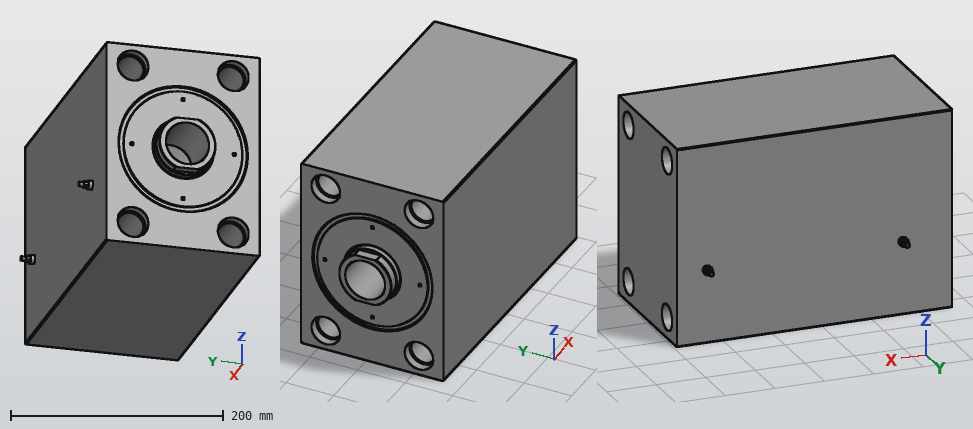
import cadquery as cq
import math

block_length = 278.0
block_width = 150.0
block_height = 200.0
block_edge_chamfer = 1.0

mount_hole_diameter = 26.0
mount_pocket_diameter = 30.0
mount_pocket_depth = 10.0
mount_spacing_y = 98.0
mount_spacing_z = 158.0

gland_diameter = 125.0
gland_length = 40.0
gland_seat_chamfer = 0.75
gland_face_diameter = 116.0
gland_rim_setback = 2.0
pin_hole_diameter = 3.0
pin_hole_depth = 6.0
pin_hole_circle_radius = 50.0
pin_hole_count = 4

rod_diameter = 56.0
rod_protrusion = 15.0
rod_tip_chamfer = 0.5
rod_seat_chamfer = 2.0
rod_end_x = 200.0
wrench_flat_width = 50.0
wrench_flat_length = 10.0
wrench_head_diameter = 55.0
rod_bore_diameter = 42.0
rod_bore_depth = 60.0
rod_bore_tip_angle = 118.0

screw_positions_x = (50.0, 248.0)
screw_height = -25.8
screw_collar_diameter = 8.5
screw_collar_height = 4.0
screw_hex_across_corners = 6.7
screw_hex_sides = 6
screw_hex_height = 4.0
screw_nipple_diameter = 4.2
screw_nipple_height = 4.5


def x_cylinder(diameter, start_x, length):
    """Cylinder on the X axis, running from start_x towards +X."""
    return cq.Workplane("YZ", origin=(start_x, 0, 0)).circle(diameter / 2).extrude(length)


def x_cone(start_diameter, end_diameter, start_x, length):
    """Cone frustum on the X axis; a zero end diameter gives a full cone."""
    solid = cq.Solid.makeCone(
        start_diameter / 2, end_diameter / 2, length, cq.Vector(start_x, 0, 0), cq.Vector(1, 0, 0)
    )
    return cq.Workplane(solid)


def make_housing():
    block = cq.Workplane("XY").box(block_length, block_width, block_height, centered=(False, True, True))
    block = block.edges("|X").chamfer(block_edge_chamfer)
    mounts = cq.Workplane("YZ").rarray(mount_spacing_y, mount_spacing_z, 2, 2)
    block = block.cut(mounts.circle(mount_hole_diameter / 2).extrude(block_length))
    block = block.cut(mounts.circle(mount_pocket_diameter / 2).extrude(mount_pocket_depth))
    block = block.cut(x_cylinder(gland_diameter, 0, gland_length))
    mouth_diameter = gland_diameter + 2 * gland_seat_chamfer
    block = block.cut(x_cone(mouth_diameter, gland_diameter, 0, gland_seat_chamfer))
    return block.cut(x_cylinder(rod_diameter, 0, rod_end_x))


def make_gland():
    gland = x_cylinder(gland_diameter, gland_rim_setback, gland_length - gland_rim_setback)
    gland = gland.union(x_cylinder(gland_face_diameter, 0, gland_length))
    pin_holes = (
        cq.Workplane("YZ")
        .polarArray(pin_hole_circle_radius, 0, 360, pin_hole_count)
        .circle(pin_hole_diameter / 2)
        .extrude(pin_hole_depth)
    )
    gland = gland.cut(pin_holes)
    gland = gland.cut(x_cylinder(rod_diameter, 0, gland_length))
    mouth_diameter = rod_diameter + 2 * rod_seat_chamfer
    return gland.cut(x_cone(mouth_diameter, rod_diameter, 0, rod_seat_chamfer))


def make_rod():
    head = x_cylinder(wrench_head_diameter, -rod_protrusion, wrench_flat_length)
    head = head.faces("<X").chamfer(rod_tip_chamfer)
    between_flats = cq.Workplane("XY").box(4 * rod_protrusion, 2 * rod_diameter, wrench_flat_width)
    head = head.intersect(between_flats)
    shaft_start_x = wrench_flat_length - rod_protrusion
    shaft = x_cylinder(rod_diameter, shaft_start_x, rod_end_x - shaft_start_x)
    shaft = shaft.faces("<X").chamfer((rod_diameter - wrench_head_diameter) / 2)
    rod = head.union(shaft)
    rod = rod.cut(x_cylinder(rod_bore_diameter, -rod_protrusion, rod_bore_depth))
    tip_length = rod_bore_diameter / 2 / math.tan(math.radians(rod_bore_tip_angle / 2))
    return rod.cut(x_cone(rod_bore_diameter, 0, rod_bore_depth - rod_protrusion, tip_length))


def make_screw(x):
    start = cq.Workplane("XZ", origin=(x, block_width / 2, screw_height))
    collar = start.circle(screw_collar_diameter / 2).extrude(-screw_collar_height)
    hexagon = (
        start.workplane(offset=-screw_collar_height)
        .transformed(rotate=(0, 0, 180 / screw_hex_sides))
        .polygon(screw_hex_sides, screw_hex_across_corners)
        .extrude(-screw_hex_height)
    )
    nipple = (
        start.workplane(offset=-screw_collar_height - screw_hex_height)
        .circle(screw_nipple_diameter / 2)
        .extrude(-screw_nipple_height)
    )
    return collar.union(hexagon).union(nipple)


housing = make_housing()
gland = make_gland()
rod = make_rod()
screws = [make_screw(x) for x in screw_positions_x]
result = cq.Compound.makeCompound(
    [housing.val(), gland.val(), rod.val(), *[screw.val() for screw in screws]]
)